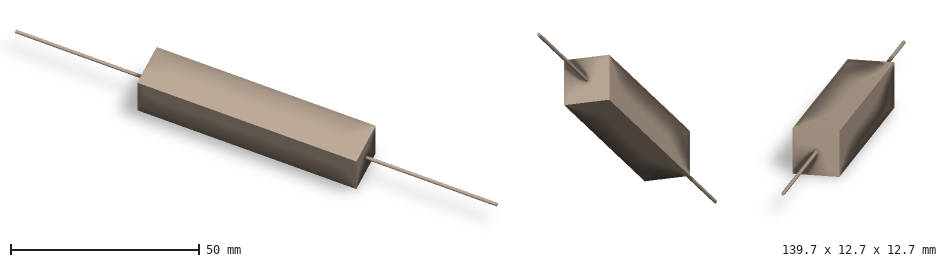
import cadquery as cq

total_length = 139.7
body_length = 63.5
body_side = 12.7
lead_diameter = 1.0

body = cq.Workplane("XY").box(body_length, body_side, body_side)

leads = (
    cq.Workplane("YZ")
    .circle(lead_diameter / 2)
    .extrude(total_length / 2, both=True)
)

result = body.union(leads)